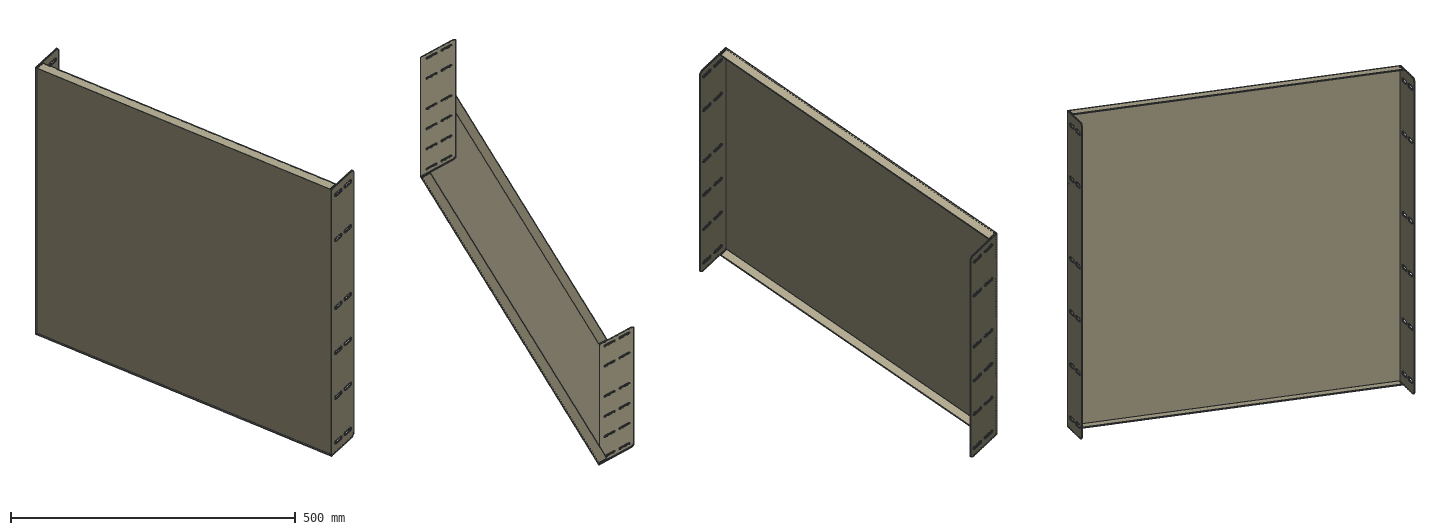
import cadquery as cq

WIDTH = 625.0
DEPTH = 71.0
HEIGHT = 594.0
SHEET = 2.0

LIP_DEPTH = 18.0
LIP_END_GAP = 1.0

CORNER_CUT_Y = 5.0
CORNER_CUT_Z = 6.0

SLOT_LENGTH = 22.0
SLOT_WIDTH = 7.0
FRONT_SLOT_Y = 22.5
SLOT_SPACING = 30.0
ROW_PITCH = 100.0
END_ROW_INSET = 21.0
LOWER_ROWS = 4
UPPER_ROWS = 2


def front_panel():
    return cq.Workplane("XY").box(WIDTH, SHEET, HEIGHT, centered=(True, False, True))


def side_flange(side):
    """Flange on the left (-1) or right (+1), with its rear corners cut off."""
    half_height = HEIGHT / 2
    outline = [
        (0, -half_height),
        (DEPTH - CORNER_CUT_Y, -half_height),
        (DEPTH, -half_height + CORNER_CUT_Z),
        (DEPTH, half_height - CORNER_CUT_Z),
        (DEPTH - CORNER_CUT_Y, half_height),
        (0, half_height),
    ]
    flange = cq.Workplane("YZ").polyline(outline).close().extrude(SHEET / 2, both=True)
    return flange.translate((side * (WIDTH - SHEET) / 2, 0, 0))


def lip(side):
    """Lip folded back along the bottom (-1) or top (+1) edge of the front panel."""
    length = WIDTH - 2 * (SHEET + LIP_END_GAP)
    strip = cq.Workplane("XY").box(length, LIP_DEPTH, SHEET, centered=(True, False, True))
    return strip.translate((0, 0, side * (HEIGHT - SHEET) / 2))


def slot_cutter():
    """All slots as bars running the full width, so both flanges are cut alike."""
    end_row = HEIGHT / 2 - END_ROW_INSET
    rows = [-end_row + i * ROW_PITCH for i in range(LOWER_ROWS)]
    rows += [end_row - i * ROW_PITCH for i in range(UPPER_ROWS)]
    columns = (FRONT_SLOT_Y, FRONT_SLOT_Y + SLOT_SPACING)
    centres = [(y, z) for z in rows for y in columns]
    slots = cq.Workplane("YZ").pushPoints(centres).slot2D(SLOT_LENGTH, SLOT_WIDTH)
    return slots.extrude(WIDTH, both=True)


result = front_panel()
for side in (-1, 1):
    result = result.union(side_flange(side)).union(lip(side))
result = result.cut(slot_cutter())